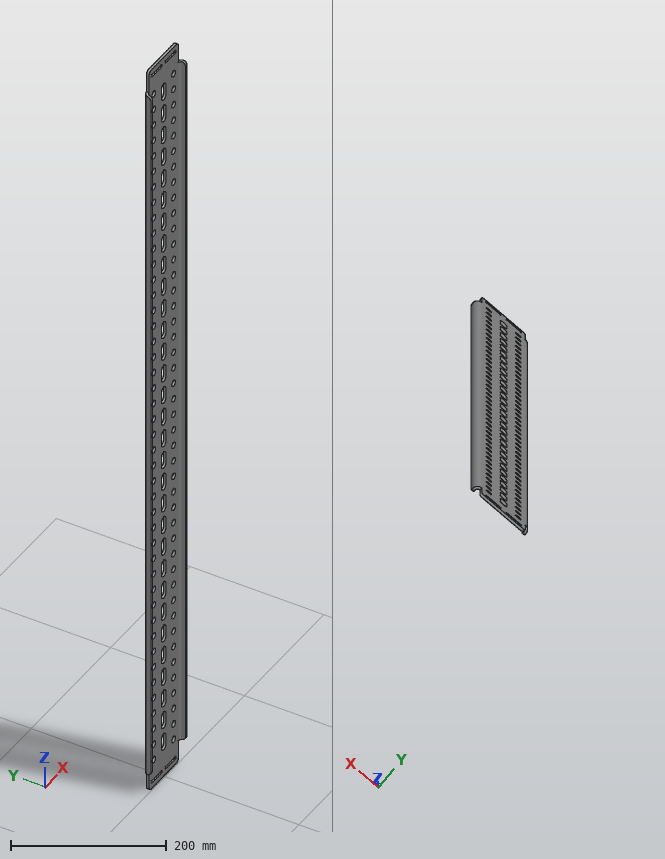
import cadquery as cq

length = 1161.0
depth = 12.0
thickness = 4.0
inner_radius = 4.4
outer_radius = inner_radius + thickness

tab_width = 74.0
tab_corner_radius = 6.0
width = tab_width + 2 * outer_radius
flange_length = 1095.0
flange_corner_radius = 6.0

slot_count = 31
slot_span = 1050.0
slot_width = 10.9
slot_height = 25.0

hole_count = 44
hole_span = 1075.0
hole_diameter = 8.9
hole_column_spacing = 50.0

tab_slot_width = 25.0
tab_slot_height = 3.0
tab_slot_spacing = 35.0
tab_slot_edge_distance = 10.0

back = depth / 2
cut_length = 2 * depth


def column(count, span):
    """Heights of evenly spaced features, centred on the part."""
    pitch = span / (count - 1)
    return [i * pitch - span / 2 for i in range(count)]


def front_plane(y):
    """Sketch plane with X to the right and Z up, facing -Y."""
    return cq.Workplane("XZ", origin=(0, y, 0))


def channel_block(block_width, front_offset=0.0):
    """Block as long as the flanges, moved toward -Y by front_offset."""
    return cq.Workplane("XY").box(block_width, depth, flange_length).translate((0, -front_offset, 0))


def flanged_channel():
    """Channel opening toward -Y, with rounded bends and rounded flange corners."""
    outside = channel_block(width).edges("|Z and >Y").fillet(outer_radius)
    inside = channel_block(width - 2 * thickness, thickness).edges("|Z and >Y").fillet(inner_radius)
    rounded_ends = channel_block(width).edges("|X and <Y").fillet(flange_corner_radius)
    return outside.cut(inside).intersect(rounded_ends)


def web():
    """Flat strip over the full length, with rounded corners on both tabs."""
    return (
        front_plane(back)
        .rect(tab_width, length)
        .extrude(thickness)
        .edges("|Y")
        .fillet(tab_corner_radius)
    )


def upright_slots():
    """Cutters for the central column of slots with round ends."""
    points = [(0, z) for z in column(slot_count, slot_span)]
    upright = 90
    return front_plane(depth).pushPoints(points).slot2D(slot_height, slot_width, upright).extrude(cut_length)


def round_holes():
    """Cutters for the holes on both sides of the central slots."""
    x = hole_column_spacing / 2
    points = [(side * x, z) for side in (-1, 1) for z in column(hole_count, hole_span)]
    return front_plane(depth).pushPoints(points).circle(hole_diameter / 2).extrude(cut_length)


def tab_slots():
    """Cutters for the two flat slots in each tab."""
    x = tab_slot_spacing / 2
    z = length / 2 - tab_slot_edge_distance
    points = [(sx * x, sz * z) for sx in (-1, 1) for sz in (-1, 1)]
    return front_plane(depth).pushPoints(points).rect(tab_slot_width, tab_slot_height).extrude(cut_length)


result = flanged_channel().union(web()).cut(upright_slots()).cut(round_holes()).cut(tab_slots())